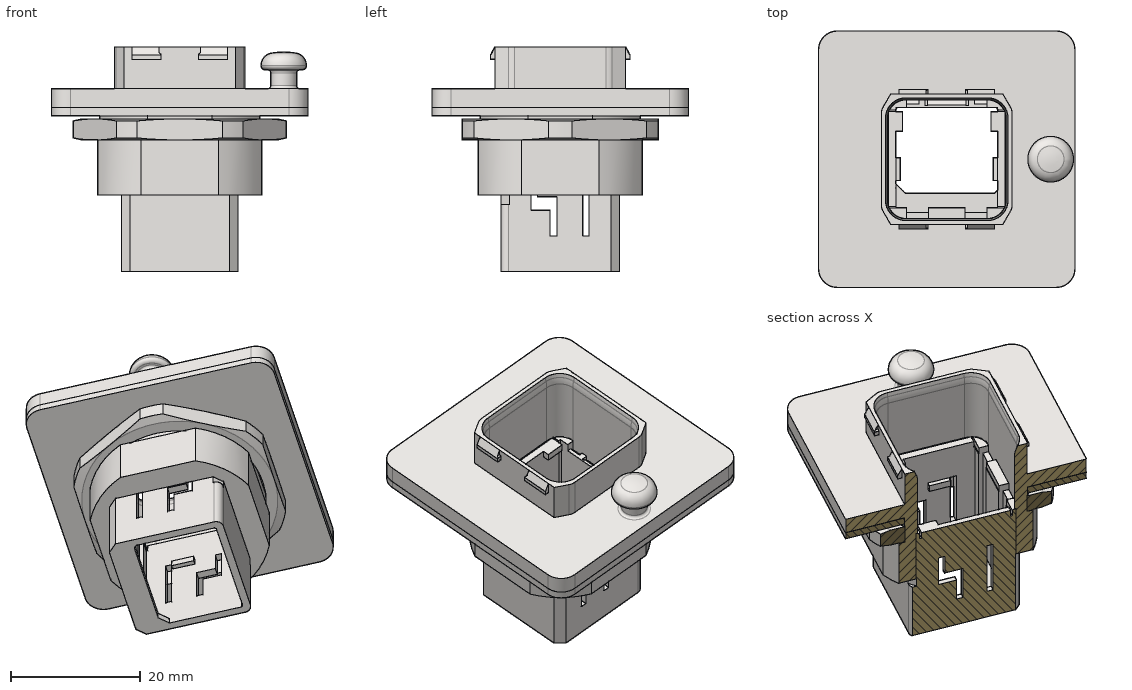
import cadquery as cq
import math

SLEEVE_BOTTOM = 11.8
NUT_BOTTOM = 20.3
NUT_TOP = 23.55
GASKET_BOTTOM = 24.05
PLATE_BOTTOM = 25.3
PLATE_TOP = 28.25
COLLAR_TOP = 34.7
INSERT_TOP = 21.4

PLATE_SIDE = 39.6
PLATE_CORNER_R = 2.95
COLLAR_SIDE = 20.2
COLLAR_CUT_X = 1.45
COLLAR_CUT_Y = COLLAR_CUT_X * math.tan(math.radians(60))
COLLAR_EDGE_R = 1.98
NECK_SIDE = 24.7
NECK_R = 13.3
SLEEVE_SIDE = 25.35
SLEEVE_R = 14.0
BORE_SIDE = 18.3
BORE_CORNER_R = 2.85

MOUTH_FLARE = 0.3
MOUTH_STEP_FLARE = 0.15
MOUTH_LIP_DEPTH = 0.7
MOUTH_CURVE_DEPTH = 1.23

RAMP_ROOT = 0.4
RAMP_FAR_X = 7.4
RAMP_NEAR_X = 2.95
RAMP_STEP_X = 0.25
RAMP_REACH = 0.67
RAMP_SLOPE_HEIGHT = 1.25
RAMP_STEP_DROP = 0.9
RAMP_STEP_HEIGHT = 0.25
RAMP_HEIGHT = 1.95

KNOB_X = 16.05
STEM_R = 2.0
STEM_ROOT = 0.4
STEM_FILLET = 0.48
HEAD_R = 3.52
HEAD_BOTTOM = 2.9
HEAD_EDGE_R = 0.67
DOME_R = 2.05
DOME_BOTTOM = 5.45
DOME_TOP = 5.65

NUT_ACROSS_FLATS = 30.25
NUT_CORNER_R = 16.5
NUT_EDGE_DROP = 0.3

INSERT_X = 17.98
INSERT_Y = BORE_SIDE
INSERT_CHAMFER = 1.35
INSERT_FILLET = 1.15
INSERT_FILLET_TOP = 10.35
CAVITY_HALF_X = 7.85
CAVITY_BACK_Y = 7.95
CAVITY_FRONT_Y = -7.5
CAVITY_CHAMFER = 0.25

LEDGE_Y = -5.23
LEDGE_HEIGHT = 1.15
LEDGE_CHAMFER_LEFT = 1.43
LEDGE_CHAMFER_RIGHT = 0.48

POST_INNER_X = 6.2
WALL_DROP = 1.3
BACK_GROOVE_NEAR_X = 2.97
BACK_GROOVE_FAR_X = 3.33
BACK_GROOVE_Y = 8.28
BACK_SIDE_BEVEL_X = 4.3
BACK_SIDE_BEVEL_Y = 8.55
BACK_MIDDLE_BEVEL_Y = 8.4
FRONT_BLOCK_HALF_X = 2.85
FRONT_GROOVE_Y = -8.2

TAB_REACH = 1.03
TAB_NEAR_Y = 4.28
TAB_FAR_Y = 7.33
TAB_HEIGHT = 1.2
GAP_WIDTH = 0.25

SLOT_BOTTOM = 5.5
SLOT_TOP = 15.05
FRONT_SLOT_Y = (-4.45, -3.5)
BACK_SLOT_Y = (0.5, 1.55)
BRANCH_SLOT_Y = (3.52, 4.47)
CROSS_SLOT_Z = (9.5, 11.52)
HOOK_Y = (-3.3, 0.25)
HOOK_REACH = 0.67
HOOK_HEIGHT = 1.2


def block(x_range, y_range, z_range):
    """Box between the given limits on each axis."""
    x0, x1 = sorted(x_range)
    y0, y1 = sorted(y_range)
    z0, z1 = sorted(z_range)
    return cq.Workplane("XY").box(x1 - x0, y1 - y0, z1 - z0, centered=False).translate((x0, y0, z0))


def rounded_square(side, corner_r, bottom, top):
    """Upright square prism with rounded vertical edges."""
    prism = cq.Workplane("XY").workplane(offset=bottom).rect(side, side).extrude(top - bottom)
    return prism.edges("|Z").fillet(corner_r)


def cylinder(radius, bottom, top):
    """Upright cylinder on the main axis."""
    return cq.Workplane("XY").workplane(offset=bottom).circle(radius).extrude(top - bottom)


def arc_radius(run, rise):
    """Radius of an arc that leaves a line tangentially and strays by rise over the length run."""
    return (run**2 + rise**2) / (2 * rise)


def turned_square(side, radius, bottom, top):
    """Upright square prism with its corners turned down to a common circle."""
    prism = cq.Workplane("XY").workplane(offset=bottom).rect(side, side).extrude(top - bottom)
    return prism.intersect(cylinder(radius, bottom, top))


def insert_outline(bottom, top):
    """Outer shape of the insert, with four chamfered vertical edges."""
    prism = cq.Workplane("XY").workplane(offset=bottom).rect(INSERT_X, INSERT_Y).extrude(top - bottom)
    return prism.edges("|Z").chamfer(INSERT_CHAMFER)


def make_collar():
    """Square collar whose steep corner cuts blend into the X faces."""
    half = COLLAR_SIDE / 2
    cut_x = half - COLLAR_CUT_X
    cut_y = half - COLLAR_CUT_Y
    corner = (
        cq.Workplane("XY").workplane(offset=PLATE_TOP)
        .polyline([(cut_x, half), (half, half), (half, cut_y)])
        .close()
        .extrude(COLLAR_TOP - PLATE_TOP)
    )
    collar = cq.Workplane("XY").workplane(offset=PLATE_TOP).rect(COLLAR_SIDE, COLLAR_SIDE)
    collar = collar.extrude(COLLAR_TOP - PLATE_TOP)
    right_corners = corner.union(corner.mirror("XZ"))
    collar = collar.cut(right_corners).cut(right_corners.mirror("YZ"))
    return collar.edges("|Z and (<X or >X)").fillet(COLLAR_EDGE_R)


def make_ramp():
    """Snap ramp on the right half of the collar's +Y face."""
    wall = COLLAR_SIDE / 2
    tip = wall + RAMP_REACH
    bottom = COLLAR_TOP - RAMP_HEIGHT
    ramp = (
        cq.Workplane("YZ").workplane(offset=RAMP_NEAR_X)
        .polyline([
            (wall - RAMP_ROOT, COLLAR_TOP), (wall, COLLAR_TOP), (tip, COLLAR_TOP - RAMP_SLOPE_HEIGHT),
            (tip, bottom), (wall - RAMP_ROOT, bottom),
        ])
        .close()
        .extrude(RAMP_FAR_X - RAMP_NEAR_X)
    )
    step_x = RAMP_NEAR_X + RAMP_STEP_X
    step_z = COLLAR_TOP - RAMP_STEP_DROP
    relief = (
        cq.Workplane("XZ").workplane(offset=-tip)
        .polyline([
            (RAMP_NEAR_X, COLLAR_TOP), (step_x, COLLAR_TOP),
            (step_x, step_z), (RAMP_NEAR_X, step_z - RAMP_STEP_HEIGHT),
        ])
        .close()
        .extrude(RAMP_REACH)
    )
    return ramp.cut(relief)


def make_mouth():
    """Flared ring that widens the top of the bore: a curve, then a tapered lip."""
    wall = BORE_SIDE / 2
    lip_z = COLLAR_TOP - MOUTH_LIP_DEPTH
    curve_z = lip_z - MOUTH_CURVE_DEPTH
    bore = rounded_square(BORE_SIDE, BORE_CORNER_R, curve_z, COLLAR_TOP)
    path = cq.Workplane(bore.faces("<Z").wires().val())
    curve_r = arc_radius(MOUTH_CURVE_DEPTH, MOUTH_STEP_FLARE)
    return (
        cq.Workplane("XZ")
        .moveTo(wall, curve_z)
        .radiusArc((wall + MOUTH_STEP_FLARE, lip_z), curve_r)
        .lineTo(wall + MOUTH_FLARE, COLLAR_TOP)
        .lineTo(wall, COLLAR_TOP)
        .close()
        .sweep(path)
    )


def make_knob():
    """Knob with a filleted stem and a domed head, turned about its own axis."""
    edge_x = HEAD_R - HEAD_EDGE_R
    diagonal = math.sqrt(0.5)
    knob = (
        cq.Workplane("XZ")
        .moveTo(0, -STEM_ROOT)
        .lineTo(STEM_R + STEM_FILLET, -STEM_ROOT)
        .lineTo(STEM_R + STEM_FILLET, 0)
        .radiusArc((STEM_R, STEM_FILLET), STEM_FILLET)
        .lineTo(STEM_R, HEAD_BOTTOM - STEM_FILLET)
        .radiusArc((STEM_R + STEM_FILLET, HEAD_BOTTOM), STEM_FILLET)
        .lineTo(edge_x, HEAD_BOTTOM)
        .threePointArc(
            (edge_x + HEAD_EDGE_R * diagonal, HEAD_BOTTOM + HEAD_EDGE_R * (1 - diagonal)),
            (HEAD_R, HEAD_BOTTOM + HEAD_EDGE_R),
        )
        .tangentArcPoint((DOME_R, DOME_BOTTOM), relative=False)
        .radiusArc((0, DOME_TOP), -arc_radius(DOME_R, DOME_TOP - DOME_BOTTOM))
        .close()
        .revolve(360, (0, 0, 0), (0, 1, 0))
    )
    return knob.translate((KNOB_X, 0, PLATE_TOP))


def make_housing():
    """Flange plate with collar, snap ramps, knob, neck and sleeve, bored through for the insert."""
    housing = rounded_square(PLATE_SIDE, PLATE_CORNER_R, PLATE_BOTTOM, PLATE_TOP)
    housing = housing.union(make_collar())
    housing = housing.union(turned_square(NECK_SIDE, NECK_R, NUT_BOTTOM, PLATE_BOTTOM))
    housing = housing.union(turned_square(SLEEVE_SIDE, SLEEVE_R, SLEEVE_BOTTOM, NUT_BOTTOM))
    housing = housing.union(make_knob())
    right_ramp = make_ramp()
    back_ramps = right_ramp.union(right_ramp.mirror("YZ"))
    housing = housing.union(back_ramps).union(back_ramps.mirror("XZ"))
    housing = housing.cut(rounded_square(BORE_SIDE, BORE_CORNER_R, INSERT_TOP, COLLAR_TOP))
    housing = housing.cut(make_mouth())
    return housing.cut(insert_outline(SLEEVE_BOTTOM, INSERT_TOP))


def make_gasket():
    """Flat gasket under the plate, open around the neck."""
    gasket = rounded_square(PLATE_SIDE, PLATE_CORNER_R, GASKET_BOTTOM, PLATE_BOTTOM)
    return gasket.cut(turned_square(NECK_SIDE, NECK_R, GASKET_BOTTOM, PLATE_BOTTOM))


def make_nut():
    """Hexagonal nut with turned corners and bevelled rims, and a round bore for the neck."""
    across_corners = NUT_ACROSS_FLATS / math.cos(math.pi / 6)
    nut = cq.Workplane("XY").workplane(offset=NUT_BOTTOM).polygon(6, across_corners)
    nut = nut.extrude(NUT_TOP - NUT_BOTTOM)
    rim_r = NUT_ACROSS_FLATS / 2
    turned = (
        cq.Workplane("XZ")
        .polyline([
            (0, NUT_BOTTOM), (rim_r, NUT_BOTTOM), (NUT_CORNER_R, NUT_BOTTOM + NUT_EDGE_DROP),
            (NUT_CORNER_R, NUT_TOP - NUT_EDGE_DROP), (rim_r, NUT_TOP), (0, NUT_TOP),
        ])
        .close()
        .revolve(360, (0, 0, 0), (0, 1, 0))
    )
    nut = nut.intersect(turned)
    return nut.cut(cylinder(NECK_R, NUT_BOTTOM, NUT_TOP))


def make_insert_shell():
    """Box with chamfered corners, the two lower back edges rounded, and a cavity over the ledge."""
    lower = cq.Workplane("XY").rect(INSERT_X, INSERT_Y).extrude(INSERT_FILLET_TOP)
    lower = lower.edges("|Z and <Y").chamfer(INSERT_CHAMFER)
    lower = lower.edges("|Z and >Y").fillet(INSERT_FILLET)
    shell = lower.union(insert_outline(INSERT_FILLET_TOP, INSERT_TOP))
    cavity_x = (-CAVITY_HALF_X, CAVITY_HALF_X)
    cavity_y = (CAVITY_FRONT_Y, CAVITY_BACK_Y)
    post_bottom = INSERT_TOP - WALL_DROP
    cavity = block(cavity_x, cavity_y, (LEDGE_HEIGHT, post_bottom))
    cavity = cavity.edges("|Z and >Y").chamfer(CAVITY_CHAMFER)
    shell = shell.cut(cavity)
    shell = shell.cut(block(cavity_x, cavity_y, (post_bottom, INSERT_TOP)))
    opening = block(cavity_x, (LEDGE_Y, CAVITY_BACK_Y), (0, LEDGE_HEIGHT))
    opening = opening.edges("|Z and >Y").chamfer(CAVITY_CHAMFER)
    opening = opening.edges("|Z and <Y and <X").chamfer(LEDGE_CHAMFER_LEFT)
    opening = opening.edges("|Z and <Y and >X").chamfer(LEDGE_CHAMFER_RIGHT)
    return shell.cut(opening)


def cut_back_wall(insert):
    """Lower the back wall between its corner posts, bevel its outer edge and groove it."""
    outer_y = INSERT_Y / 2
    wall_top = INSERT_TOP - WALL_DROP
    full_wall = (CAVITY_BACK_Y, outer_y)
    insert = insert.cut(block((-POST_INNER_X, POST_INNER_X), full_wall, (wall_top, INSERT_TOP)))

    def bevel(x0, x1, inner_y):
        width = outer_y - inner_y
        corner = [(inner_y, wall_top), (outer_y, wall_top), (outer_y, wall_top - width)]
        return cq.Workplane("YZ").workplane(offset=x0).polyline(corner).close().extrude(x1 - x0)

    insert = insert.cut(bevel(-BACK_GROOVE_NEAR_X, BACK_GROOVE_NEAR_X, BACK_MIDDLE_BEVEL_Y))
    side_bevel = bevel(BACK_SIDE_BEVEL_X, POST_INNER_X, BACK_SIDE_BEVEL_Y)
    groove = block(
        (BACK_GROOVE_NEAR_X, BACK_GROOVE_FAR_X), (BACK_GROOVE_Y, outer_y),
        (wall_top - WALL_DROP, wall_top),
    )
    for cutter in (side_bevel, groove):
        insert = insert.cut(cutter).cut(cutter.mirror("YZ"))
    return insert


def cut_front_wall(insert):
    """Thin and lower the front wall on both sides of its middle block."""
    groove = block(
        (FRONT_BLOCK_HALF_X, POST_INNER_X), (FRONT_GROOVE_Y, CAVITY_FRONT_Y), (LEDGE_HEIGHT, INSERT_TOP)
    )
    lowered = block(
        (FRONT_BLOCK_HALF_X, POST_INNER_X), (-INSERT_Y / 2, FRONT_GROOVE_Y),
        (INSERT_TOP - WALL_DROP, INSERT_TOP),
    )
    recess = groove.union(lowered)
    return insert.cut(recess).cut(recess.mirror("YZ"))


def shape_side_walls(insert):
    """Add the stop tabs and hooks to both side walls, and cut their end gaps and slots."""
    tab_z = (INSERT_TOP - TAB_HEIGHT, INSERT_TOP)
    tab = block((CAVITY_HALF_X - TAB_REACH, CAVITY_HALF_X), (TAB_NEAR_Y, TAB_FAR_Y), tab_z)
    hook = block(
        (CAVITY_HALF_X - HOOK_REACH, CAVITY_HALF_X), HOOK_Y, (SLOT_TOP - HOOK_HEIGHT, SLOT_TOP)
    )
    for lug in (tab, hook):
        insert = insert.union(lug).union(lug.mirror("YZ"))

    through_x = (-INSERT_X / 2, INSERT_X / 2)
    cuts = [
        block(through_x, FRONT_SLOT_Y, (SLOT_BOTTOM, SLOT_TOP)),
        block(through_x, BACK_SLOT_Y, (SLOT_BOTTOM, CROSS_SLOT_Z[1])),
        block(through_x, (BACK_SLOT_Y[0], BRANCH_SLOT_Y[1]), CROSS_SLOT_Z),
        block(through_x, BRANCH_SLOT_Y, (CROSS_SLOT_Z[0], SLOT_TOP)),
    ]
    gap = block(through_x, (TAB_FAR_Y, TAB_FAR_Y + GAP_WIDTH), tab_z)
    cuts += [gap, gap.mirror("XZ")]
    for cutter in cuts:
        insert = insert.cut(cutter)
    return insert


def make_insert():
    """Insert box with all of its wall details."""
    insert = make_insert_shell()
    insert = cut_back_wall(insert)
    insert = cut_front_wall(insert)
    return shape_side_walls(insert)


housing = make_housing()
gasket = make_gasket()
nut = make_nut()
insert = make_insert()

result = cq.Compound.makeCompound([body.solids().val() for body in (housing, gasket, nut, insert)])